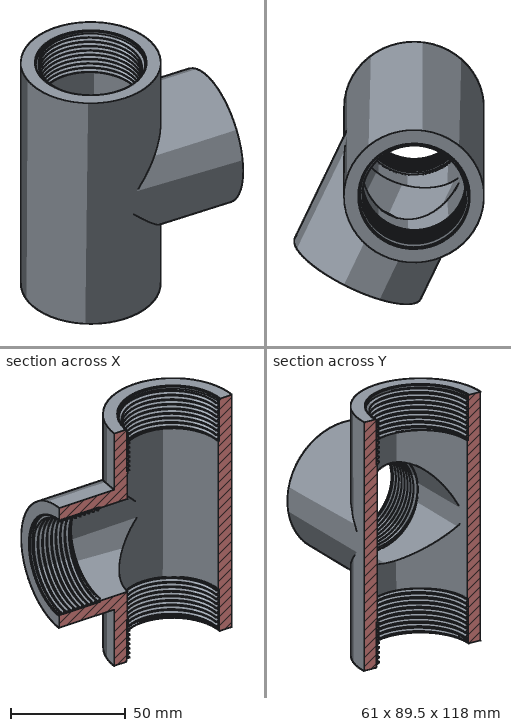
import cadquery as cq
import math

run_length = 118.0
outer_diameter = 61.0
branch_length = run_length / 2

major_diameter = 47.8
minor_diameter = 44.8
inner_bore_diameter = 46.8
socket_depth = 21.4
thread_start_depth = 1.5
rim_chamfer = 0.5
thread_pitch = 2.31
thread_angle = 55.0
crest_width = 0.4

major_radius = major_diameter / 2
minor_radius = minor_diameter / 2
ridge_height = major_radius - minor_radius
crest_half = crest_width / 2
base_half = crest_half + ridge_height * math.tan(math.radians(thread_angle / 2))

half_run = run_length / 2
port_planes = [
    cq.Plane(origin=(0, 0, half_run), xDir=(1, 0, 0), normal=(0, 0, -1)),
    cq.Plane(origin=(0, 0, -half_run), xDir=(1, 0, 0), normal=(0, 0, 1)),
    cq.Plane(origin=(0, branch_length, 0), xDir=(1, 0, 0), normal=(0, -1, 0)),
]


def tee_cylinders(diameter):
    """Run cylinder along Z joined to a branch cylinder along +Y."""
    run = cq.Workplane("XY").circle(diameter / 2).extrude(half_run, both=True)
    branch = cq.Workplane("XZ").circle(diameter / 2).extrude(-branch_length)
    return run.union(branch)


def socket_cutter():
    """Socket bore along +Z with a chamfered mouth at Z = 0."""
    profile = [
        (0, 0),
        (major_radius + rim_chamfer, 0),
        (major_radius, rim_chamfer),
        (major_radius, socket_depth),
        (0, socket_depth),
    ]
    return cq.Workplane("XZ").polyline(profile).close().revolve(360, (0, 0), (0, 1))


def make_tee():
    """Hollow tee with a wider, chamfered socket at each port."""
    tee = tee_cylinders(outer_diameter).cut(tee_cylinders(inner_bore_diameter))
    socket = socket_cutter().val()
    for plane in port_planes:
        tee = tee.cut(cq.Workplane(socket.moved(cq.Location(plane))))
    return tee


def make_thread():
    """Helical ridge along +Z on the socket wall, cut square at both ends."""
    threaded_depth = socket_depth - thread_start_depth
    helix = cq.Wire.makeHelix(thread_pitch, socket_depth + 2 * thread_pitch, major_radius)
    profile = cq.Workplane("XZ").polyline([
        (major_radius, -base_half),
        (minor_radius, -crest_half),
        (minor_radius, crest_half),
        (major_radius, base_half),
    ]).close()
    ridge = profile.sweep(cq.Workplane(helix), isFrenet=True)
    ridge = ridge.translate((0, 0, -thread_pitch / 2))
    envelope = (
        cq.Workplane("XY", origin=(0, 0, thread_start_depth))
        .rect(outer_diameter, outer_diameter)
        .extrude(threaded_depth)
    )
    return ridge.intersect(envelope)


tee = make_tee()
thread = make_thread()
threads = [thread.solids().val().moved(cq.Location(plane)) for plane in port_planes]

result = cq.Compound.makeCompound([tee.solids().val(), *threads])